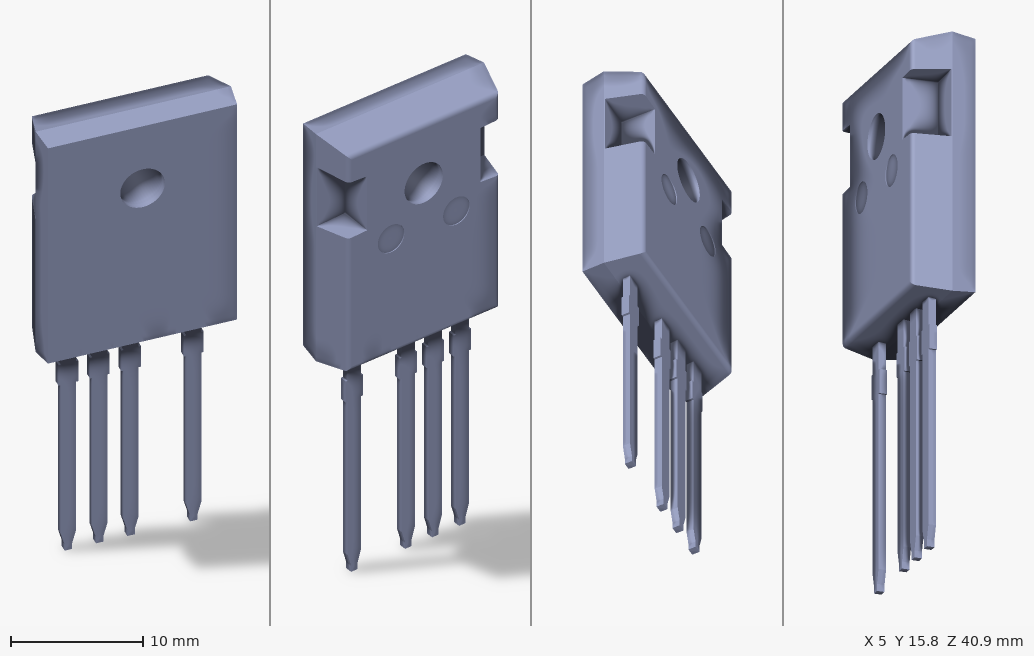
import cadquery as cq


depth = 5.0
width = 15.8
top_z = 40.9
bottom_z = 19.93
parting_x = 3.03
front_inset = 0.8
front_bottom_inset = 0.35
back_inset = 0.25
front_fillet = 0.4

notch_floor_x = 2.95
notch_inner_y = 5.3
notch_z = top_z - 5.75
notch_inner_height = 5.0
notch_outer_height = 5.25
notch_draft = 2.0

hole_diameter = 3.6
hole_z = top_z - 6.15
mark_diameter = 2.5
mark_depth = 0.1
mark_y = 3.05
mark_z = top_z - 10.0

heatsink_margin = 1.0

lead_positions = [5.07, 0.0, -2.55, -5.07]
lead_front_x = 1.95
lead_thickness = 0.6
lead_width = 1.23
lead_embed = 1.0
collar_width = 1.6
collar_bottom_z = 15.85
collar_top_z = 17.8
tip_width = 0.6
taper_bottom_z = 0.57
taper_top_z = 1.68


def make_blank():
    """Housing block drafted both ways from its parting outline, with a rounded front rim."""
    side_profile = [
        (0, bottom_z + front_bottom_inset),
        (parting_x, bottom_z),
        (depth, bottom_z + back_inset),
        (depth, top_z - back_inset),
        (parting_x, top_z),
        (0, top_z - front_inset),
    ]
    plan_profile = [
        (0, front_inset - width / 2),
        (parting_x, -width / 2),
        (depth, back_inset - width / 2),
        (depth, width / 2 - back_inset),
        (parting_x, width / 2),
        (0, width / 2 - front_inset),
    ]
    side_prism = cq.Workplane("XZ").polyline(side_profile).close().extrude(width / 2, both=True)
    plan_prism = cq.Workplane("XY").polyline(plan_profile).close().extrude(top_z)
    return side_prism.intersect(plan_prism).faces("<X").edges().fillet(front_fillet)


def make_notch(side):
    """Tool for the notch on one side: +1 for +Y, -1 for -Y."""
    outline = [
        (side * notch_inner_y, notch_z - notch_inner_height / 2),
        (side * width / 2, notch_z - notch_outer_height / 2),
        (side * width / 2, notch_z + notch_outer_height / 2),
        (side * notch_inner_y, notch_z + notch_inner_height / 2),
    ]
    return cq.Workplane("YZ").polyline(outline).close().extrude(notch_floor_x, taper=-notch_draft)


def make_round(diameter, length, y, z):
    """Cylinder running back from the front face."""
    return cq.Workplane("YZ").center(y, z).circle(diameter / 2).extrude(length)


def make_heatsink():
    heatsink_width = width - 2 * heatsink_margin
    heatsink_height = top_z - bottom_z - 2 * heatsink_margin
    plate = (
        cq.Workplane("YZ", origin=(notch_floor_x, 0, (top_z + bottom_z) / 2))
        .rect(heatsink_width, heatsink_height)
        .extrude(depth - notch_floor_x)
    )
    return plate.cut(make_round(hole_diameter, depth, 0, hole_z))


def make_lead(y):
    """Flat lead with a wider collar and a tapered tip."""
    lead_top_z = bottom_z + lead_embed
    right_side = [
        (tip_width / 2, 0),
        (tip_width / 2, taper_bottom_z),
        (lead_width / 2, taper_top_z),
        (lead_width / 2, collar_bottom_z),
        (collar_width / 2, collar_bottom_z),
        (collar_width / 2, collar_top_z),
        (lead_width / 2, collar_top_z),
        (lead_width / 2, lead_top_z),
    ]
    left_side = [(-offset, z) for offset, z in reversed(right_side)]
    return (
        cq.Workplane("YZ", origin=(lead_front_x, y, 0))
        .polyline(right_side + left_side)
        .close()
        .extrude(lead_thickness)
    )


def make_housing(heatsink, leads):
    """Moulded housing with matching recesses for the heatsink and the leads."""
    housing = make_blank()
    housing = housing.cut(make_round(hole_diameter, depth, 0, hole_z))
    for side in (-1, 1):
        housing = housing.cut(make_notch(side))
        housing = housing.cut(make_round(mark_diameter, mark_depth, side * mark_y, mark_z))
    for insert in [heatsink, *leads]:
        housing = housing.cut(insert)
    return housing


heatsink = make_heatsink()
leads = [make_lead(y) for y in lead_positions]
housing = make_housing(heatsink, leads)

result = cq.Compound.makeCompound([housing.val(), heatsink.val(), *[lead.val() for lead in leads]])